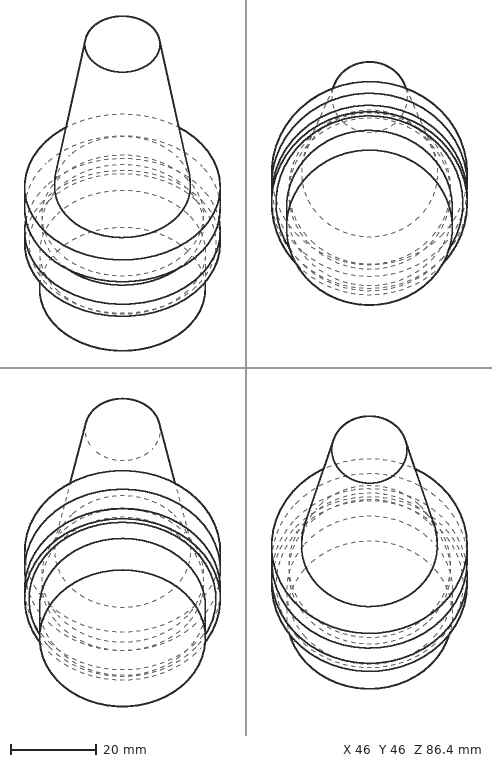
import cadquery as cq

total_height = 86.4

nose_diameter = 39.0
flange_diameter = 46.0
flange_underside_diameter = 43.9
groove_diameter = 38.0
collar_diameter = 31.9

taper_ratio = 7 / 24

nose_top = 13.05
flange_bottom = 16.2
flange_top = 36.0
taper_start = flange_top + 1.6

groove_middle = 24.4
groove_floor_width = 3.4
groove_mouth_width = 7.95

groove_floor_bottom = groove_middle - groove_floor_width / 2
groove_floor_top = groove_middle + groove_floor_width / 2
groove_mouth_bottom = groove_middle - groove_mouth_width / 2
groove_mouth_top = groove_middle + groove_mouth_width / 2

taper_length = total_height - taper_start
taper_small_diameter = collar_diameter - taper_ratio * taper_length

profile = [
    (0, 0),
    (nose_diameter / 2, 0),
    (nose_diameter / 2, nose_top),
    (flange_underside_diameter / 2, flange_bottom),
    (flange_diameter / 2, flange_bottom),
    (flange_diameter / 2, groove_mouth_bottom),
    (groove_diameter / 2, groove_floor_bottom),
    (groove_diameter / 2, groove_floor_top),
    (flange_diameter / 2, groove_mouth_top),
    (flange_diameter / 2, flange_top),
    (collar_diameter / 2, flange_top),
    (collar_diameter / 2, taper_start),
    (taper_small_diameter / 2, total_height),
    (0, total_height),
]

result = cq.Workplane("XZ").polyline(profile).close().revolve(360, (0, 0, 0), (0, 1, 0))